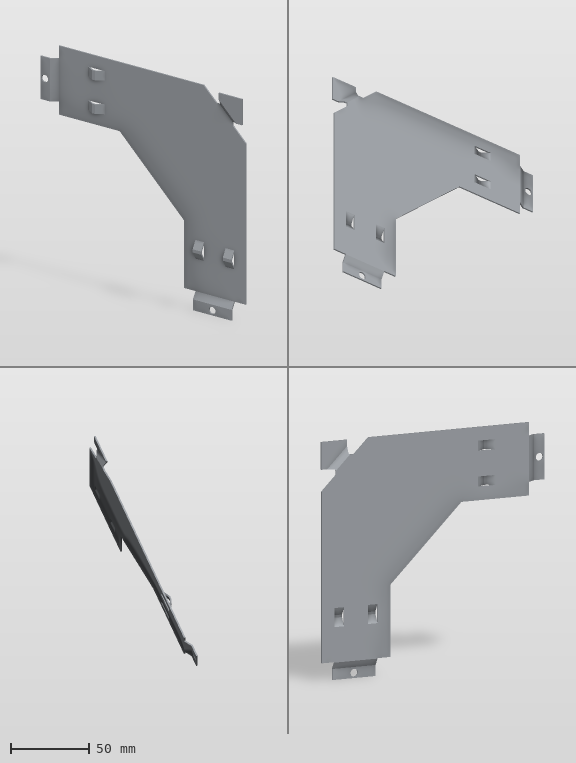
import cadquery as cq
import math

overall = 157.3
thickness = 1.0
tab_step = 3.0
front_face = -thickness
tab_face = front_face - tab_step

landing = 0.8

arm_end = 145.0
arm_width = 48.0
inner_corner = 97.8
corner_cut = 32.7

tab_near = 9.0
tab_far = arm_width - tab_near
tab_ramp_start = arm_end
tab_ramp_end = 149.7
hole_diameter = 5.0
hole_from_end = 3.5

bridge_width = 6.6
bridge_start = 109.3
bridge_end = 122.4
bridge_crest = 2.2
bridge_face = -4.2
bridge_edges = (tab_near, tab_far - bridge_width)

corner_tab_inset = 1.0
corner_tab_far = 19.0
neck_relief = 10.0
neck_fillet = 1.3
neck_fold_start = 30.2
neck_fold_end = 24.5


def fold_strip(face_points, z_low, z_high):
    """Fold a strip from its front-face line, ordered by increasing x."""
    angles = []
    for (x0, y0), (x1, y1) in zip(face_points, face_points[1:]):
        angles.append(math.atan2(y1 - y0, x1 - x0))
    befores = [angles[0]] + angles
    afters = angles + [angles[-1]]
    back_points = []
    for (x, y), before, after in zip(face_points, befores, afters):
        mean = (before + after) / 2
        miter = thickness / math.cos((after - before) / 2)
        back_points.append((x - miter * math.sin(mean), y + miter * math.cos(mean)))
    profile = cq.Workplane("XY").workplane(offset=z_low).polyline(face_points + back_points[::-1])
    return profile.close().extrude(z_high - z_low)


def plate(points):
    """Extrude an XZ outline through the sheet thickness."""
    return cq.Workplane("XZ").polyline(points).close().extrude(thickness)


def with_mirror(body):
    """Add the copy of an arm feature that belongs to the other arm."""
    return body.union(body.mirror(cq.Vector(1, 0, -1)))


def end_tab():
    strip = fold_strip(
        [
            (-overall, tab_face),
            (-tab_ramp_end, tab_face),
            (-tab_ramp_start, front_face),
            (-arm_end + landing, front_face),
        ],
        -tab_far,
        -tab_near,
    )
    hole = (
        cq.Workplane("XZ")
        .center(-overall + hole_from_end, -(tab_near + tab_far) / 2)
        .circle(hole_diameter / 2)
        .extrude(-tab_face)
    )
    return strip.cut(hole)


def bridge(near_edge):
    middle = (bridge_start + bridge_end) / 2
    return fold_strip(
        [
            (-bridge_end - landing, front_face),
            (-bridge_end, front_face),
            (-middle - bridge_crest / 2, bridge_face),
            (-middle + bridge_crest / 2, bridge_face),
            (-bridge_start, front_face),
            (-bridge_start + landing, front_face),
        ],
        -near_edge - bridge_width,
        -near_edge,
    )


def bridge_window(near_edge):
    far_edge = near_edge + bridge_width
    return plate([
        (-bridge_end, -far_edge),
        (-bridge_start, -far_edge),
        (-bridge_start, -near_edge),
        (-bridge_end, -near_edge),
    ])


def corner_tab():
    relief_end = corner_cut - neck_relief
    outline = (
        cq.Workplane("XZ")
        .polyline([
            (-relief_end, -neck_relief),
            (-corner_tab_far, -neck_relief),
            (-corner_tab_far, -corner_tab_inset),
            (-corner_tab_inset, -corner_tab_inset),
            (-corner_tab_inset, -corner_tab_far),
            (-neck_relief, -corner_tab_far),
            (-neck_relief, -relief_end),
        ])
        .close()
        .extrude(-tab_face)
    )
    pick = neck_fillet / 4
    neck_corners = cq.selectors.BoxSelector(
        (-corner_tab_far - pick, tab_face, -neck_relief - pick),
        (-corner_tab_far + pick, 0, -neck_relief + pick),
    ) + cq.selectors.BoxSelector(
        (-neck_relief - pick, tab_face, -corner_tab_far - pick),
        (-neck_relief + pick, 0, -corner_tab_far + pick),
    )
    outline = outline.edges(neck_corners).fillet(neck_fillet)
    diagonal = math.sqrt(2)
    folded = fold_strip(
        [
            (-corner_cut / diagonal - landing, front_face),
            (-neck_fold_start / diagonal, front_face),
            (-neck_fold_end / diagonal, tab_face),
            (0, tab_face),
        ],
        -corner_cut,
        corner_cut,
    ).rotate((0, 0, 0), (0, 1, 0), -45)
    return outline.intersect(folded)


sheet = plate([
    (-corner_cut, 0),
    (-arm_end, 0),
    (-arm_end, -arm_width),
    (-inner_corner, -arm_width),
    (-arm_width, -inner_corner),
    (-arm_width, -arm_end),
    (0, -arm_end),
    (0, -corner_cut),
    (-neck_relief, neck_relief - corner_cut),
    (neck_relief - corner_cut, -neck_relief),
])

result = sheet.union(with_mirror(end_tab())).union(corner_tab())
for near_edge in bridge_edges:
    result = result.cut(with_mirror(bridge_window(near_edge)))
    result = result.union(with_mirror(bridge(near_edge)))